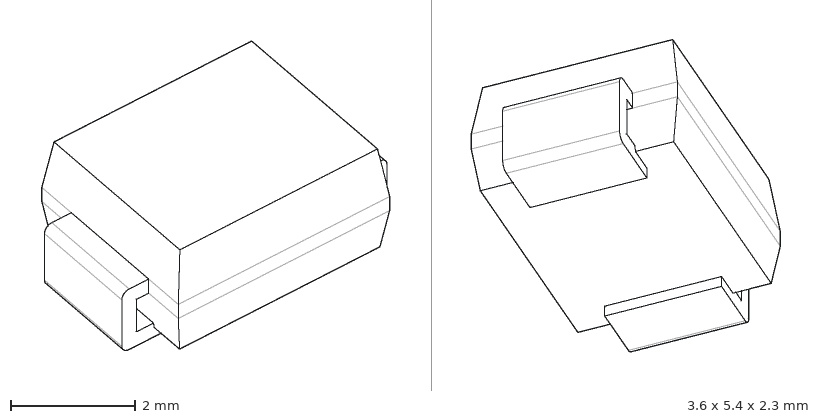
import cadquery as cq
import math

total_length = 5.4
total_height = 2.3

body_width = 3.6
body_length = 4.305
standoff = 0.2
draft_angle = 8.0

lead_width = 2.04
lead_thickness = 0.3
lead_top = 1.3
foot_length = 1.14
bend_radius = 0.15
lead_embed = 0.27

band_bottom = lead_top - lead_thickness


def drafted_half(start_height, end_height):
    """Body half that narrows from the band to its flat outer face."""
    inset = abs(end_height - start_height) * math.tan(math.radians(draft_angle))
    return (
        cq.Workplane("XY")
        .workplane(offset=start_height)
        .rect(body_width, body_length)
        .workplane(offset=end_height - start_height)
        .rect(body_width - 2 * inset, body_length - 2 * inset)
        .loft(ruled=True)
    )


def make_body():
    band = (
        cq.Workplane("XY")
        .workplane(offset=band_bottom)
        .rect(body_width, body_length)
        .extrude(lead_thickness)
    )
    upper = drafted_half(lead_top, total_height)
    lower = drafted_half(band_bottom, standoff)
    return band.union(upper).union(lower)


def make_lead():
    """C-shaped lead at the +Y end, rounded on its two outer bends."""
    outer_y = total_length / 2
    wall_y = outer_y - lead_thickness
    arm_y = body_length / 2 - lead_embed
    foot_y = outer_y - foot_length
    return (
        cq.Workplane("YZ")
        .moveTo(arm_y, lead_top)
        .lineTo(outer_y, lead_top)
        .lineTo(outer_y, 0)
        .lineTo(foot_y, 0)
        .lineTo(foot_y, lead_thickness)
        .lineTo(wall_y, lead_thickness)
        .lineTo(wall_y, band_bottom)
        .lineTo(arm_y, band_bottom)
        .close()
        .extrude(lead_width / 2, both=True)
        .faces(">Y")
        .edges("|X")
        .fillet(bend_radius)
    )


lead = make_lead()
result = make_body().union(lead).union(lead.mirror("XZ"))